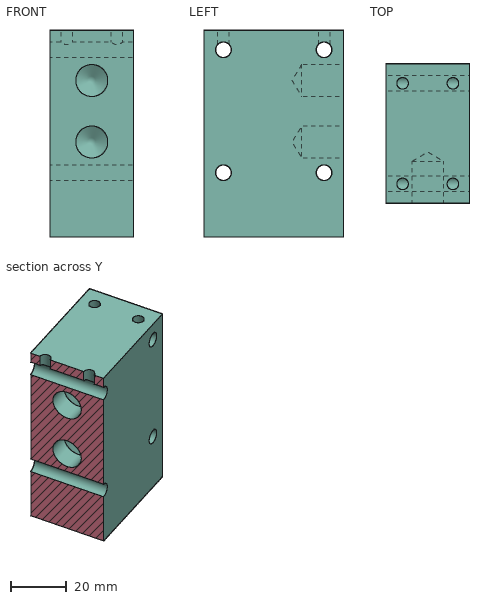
import cadquery as cq
import math

WIDTH_X = 30.0
DEPTH_Y = 50.0
HEIGHT_Z = 74.0

PORT_DIAMETER = 11.45
PORT_DEPTH = 15.0
PORT_TIP_ANGLE = 118.0
UPPER_PORT_DROP = 18.0
PORT_PITCH = 22.0

MOUNT_DIAMETER = 5.5
MOUNT_PITCH_Y = 36.0
MOUNT_PITCH_Z = 44.0
MOUNT_TOP_DROP = 7.0

TOP_HOLE_DIAMETER = 4.13
TOP_HOLE_PITCH_X = 18.0
TOP_HOLE_PITCH_Y = MOUNT_PITCH_Y
TOP_HOLE_DEPTH = MOUNT_TOP_DROP


def drilled_port():
    """Drill shape that enters the -Y face at Z = 0 and ends in a conical tip."""
    radius = PORT_DIAMETER / 2
    tip_length = radius / math.tan(math.radians(PORT_TIP_ANGLE / 2))
    face_y = -DEPTH_Y / 2
    shoulder_y = face_y + PORT_DEPTH
    half_profile = (
        cq.Workplane("XY")
        .moveTo(0, face_y)
        .lineTo(radius, face_y)
        .lineTo(radius, shoulder_y)
        .lineTo(0, shoulder_y + tip_length)
        .close()
    )
    return half_profile.revolve(360, (0, 0, 0), (0, 1, 0))


def cut_ports(body):
    """Two drilled ports, one above the other on the middle of the -Y face."""
    port = drilled_port()
    upper_z = HEIGHT_Z - UPPER_PORT_DROP
    for z in (upper_z, upper_z - PORT_PITCH):
        body = body.cut(port.translate((0, 0, z)))
    return body


def cut_mounting_holes(body):
    """Four through holes along X in a rectangle near the upper end."""
    centre_z = HEIGHT_Z - MOUNT_TOP_DROP - MOUNT_PITCH_Z / 2
    holes = (
        cq.Workplane("YZ", origin=(-WIDTH_X / 2, 0, centre_z))
        .rarray(MOUNT_PITCH_Y, MOUNT_PITCH_Z, 2, 2)
        .circle(MOUNT_DIAMETER / 2)
        .extrude(WIDTH_X)
    )
    return body.cut(holes)


def cut_top_holes(body):
    """Four holes from the top face down to the axes of the upper mounting holes."""
    holes = (
        cq.Workplane("XY", origin=(0, 0, HEIGHT_Z))
        .rarray(TOP_HOLE_PITCH_X, TOP_HOLE_PITCH_Y, 2, 2)
        .circle(TOP_HOLE_DIAMETER / 2)
        .extrude(-TOP_HOLE_DEPTH)
    )
    return body.cut(holes)


block = cq.Workplane("XY").box(WIDTH_X, DEPTH_Y, HEIGHT_Z, centered=(True, True, False))
block = cut_ports(block)
block = cut_mounting_holes(block)
result = cut_top_holes(block)